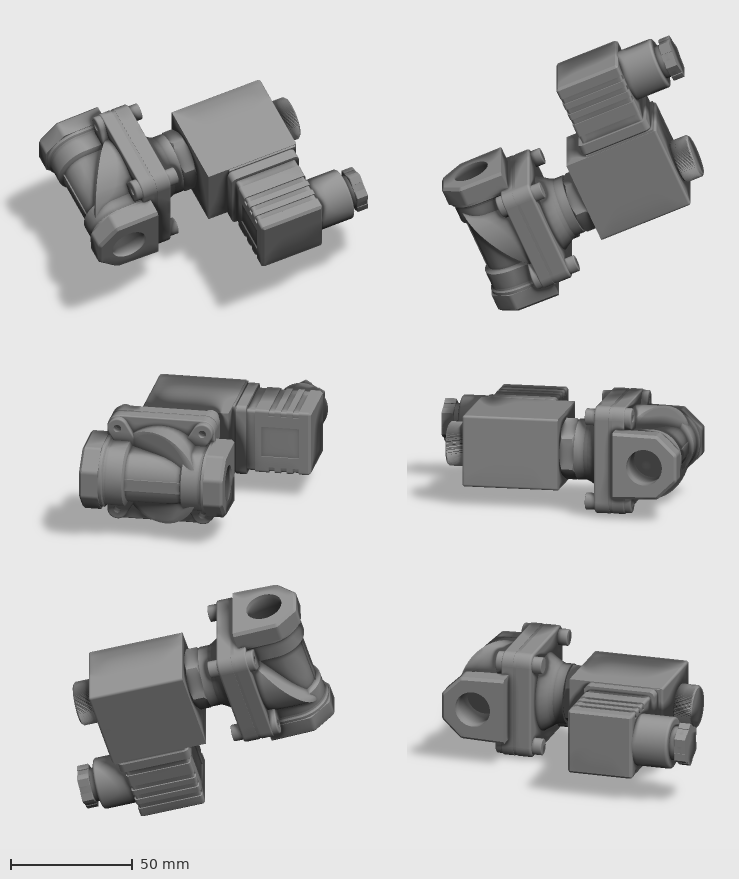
import cadquery as cq
import math


overall_length = 85.1
valve_length = 60.0
half_length = valve_length / 2
port_length = 7.9
port_inner_x = half_length - port_length
port_back_y = 13.3
port_front_y = -13.5
port_half_back = 13.9
port_half_corner = 13.4
port_corner_y = -5.4
port_half_front = 5.6
port_corner_radius = 2.2
port_chamfer = 1.1
port_bore = 15.0
port_bore_depth = 16.7

casting_draft = math.tan(math.radians(1.7))
tube_radius = 10.3
collar_radius = 12.3
rim_radius = 13.3
tube_end_x = 11.4
collar_start_x = 12.4
collar_end_x = 19.5
rim_fillet_x = 20.3
rim_fillet_radius = 12.5
rim_start_x = 20.9
barrel_overlap = 0.3
spine_width = 4.9
spine_front_y = -10.5

bowl_radius = 19.3
bowl_floor_radius = 18.5
bowl_rim_rounding = 4.5
bowl_floor_angle = 32.0
bowl_floor_y = 0.3

flange_size = 45.0
flange_corner_radius = 5.0
flange_bottom_y = 9.9
gasket_bottom_y = 15.0
cover_bottom_y = 16.3
cover_top_y = 22.6
gasket_size = 44.6
flange_edge_radius = 0.6
cover_edge_radius = 1.0

screw_offset = 17.7
boss_radius = 4.2
boss_bottom_y = 7.1
boss_edge_radius = 0.7
boss_arm_length = 8.9
boss_arm_angle = 59.0
boss_hole = 3.2
boss_hole_depth = 4.5
screw_head = 6.9
screw_top_y = 26.7
screw_edge_radius = 0.3

bonnet_radius = 12.5
bonnet_top_y = 33.0
bonnet_shoulder_y = 29.0
bonnet_flare_y = 27.3
bonnet_flare_radius = 13.3
bonnet_base_radius = 16.3
hex_flats = 22.3
hex_chamfer_angle = 30.0

coil_bottom_y = 39.4
coil_top_y = 79.4
coil_left_x = -13.8
coil_right_x = 22.5
coil_height = 29.9
coil_edge_radius = 1.0
pad_thickness = 0.9
pad_bottom_y = 48.5
pad_top_y = 78.4
pad_height = 29.5

knurl_radius = 9.1
knurl_top_y = 87.6
knurl_chamfer = 0.8
knurl_teeth = 100
knurl_depth = 0.5

seal_left_x = coil_right_x + pad_thickness
seal_right_x = 28.3
seal_bottom_y = 47.3
seal_top_y = 77.5
seal_height = 30.0
seal_corner_radius = 2.2
seal_chamfer = 0.8
neck_right_x = 31.9
neck_bottom_y = 49.1
neck_top_y = 76.0
neck_height = 26.5
plug_right_x = overall_length - half_length
plug_bottom_y = 48.6
plug_top_y = 76.2
plug_height = 27.4
plug_corner_radius = 1.1
plug_edge = 1.0
groove_width = 2.5
groove_pitch = 5.0
groove_count = 3
groove_first_x = 37.6
groove_depth = 0.6
groove_corner_radius = 0.9
groove_end_z = 11.2
panel_left_x = 34.6
panel_length = 15.6
panel_height = 13.0
panel_depth = 0.6

gland_x = 43.7
gland_radius = 10.7
gland_top_y = 90.9
gland_edge = 1.0
gland_neck_radius = 7.0
gland_nut_bottom_y = 93.3
gland_nut_top_y = 98.0
gland_nut_flats = 15.8
gland_nut_chamfer = 0.2
gland_flute_depth = 0.3


def block(x0, x1, y0, y1, height):
    """Box between two X and two Y values, centred on Z = 0."""
    return (
        cq.Workplane("XY")
        .box(x1 - x0, y1 - y0, height)
        .translate(((x0 + x1) / 2, (y0 + y1) / 2, 0))
    )


def plane_at_y(y, x=0, z=0):
    """Workplane that extrudes towards +Y; its local axes are X and -Z."""
    return cq.Workplane("XZ", origin=(x, y, z)).transformed(rotate=(180, 0, 0))


def hexagon(flats, y0, y1, x=0):
    """Hexagonal prism along Y with its corners on the Z axis."""
    corner_diameter = flats / math.cos(math.radians(30))
    return (
        plane_at_y(y0, x)
        .transformed(rotate=(0, 0, 90))
        .polygon(6, corner_diameter)
        .extrude(y1 - y0)
    )


def turned_blank(flats, y0, y1, angle):
    """Turned blank whose end cones round the corners of a hexagon."""
    outer = flats / 2 / math.cos(math.radians(30))
    inner = flats / 2
    drop = (outer - inner) * math.tan(math.radians(angle))
    profile = [(0, y0), (inner, y0), (outer, y0 + drop), (outer, y1 - drop), (inner, y1), (0, y1)]
    return cq.Workplane("XY").polyline(profile).close().revolve(360, (0, 0, 0), (0, 1, 0))



def u_section(section, radius):
    """U outline: half round in front, walls opening with the casting draft at the back."""
    wall_y = flange_bottom_y + flange_edge_radius
    wall_half = radius + wall_y * casting_draft
    return (
        section.moveTo(wall_y, wall_half)
        .lineTo(0, radius)
        .threePointArc((-radius, 0), (0, -radius))
        .lineTo(wall_y, -wall_half)
        .close()
    )


def make_barrel():
    """Tube with a collar and rim at each end, plus the flat spine along its front."""
    stations = [
        (0, tube_radius),
        (tube_end_x, tube_radius),
        (collar_start_x, collar_radius),
        (collar_end_x, collar_radius),
        (rim_fillet_x, rim_fillet_radius),
        (rim_start_x, rim_radius),
        (port_inner_x + barrel_overlap, rim_radius),
    ]
    section = cq.Workplane("YZ")
    previous_x = 0
    for x, radius in stations:
        section = u_section(section.workplane(offset=x - previous_x), radius)
        previous_x = x
    half = section.loft(ruled=True, combine=True)
    spine = block(-collar_start_x, collar_start_x, spine_front_y, 0, spine_width)
    return half.union(half.mirror("YZ")).union(spine)


def make_port():
    """Port block at the +X end."""
    half_outline = [
        (port_back_y, port_half_back),
        (port_corner_y, port_half_corner),
        (port_front_y, port_half_front),
    ]
    outline = half_outline + [(y, -z) for y, z in reversed(half_outline)]
    port = cq.Workplane("YZ", origin=(port_inner_x, 0, 0)).polyline(outline).close().extrude(port_length)
    facet_edges = cq.selectors.BoxSelector(
        (0, port_front_y - 1.1, -port_half_back), (half_length, port_corner_y + 1.1, port_half_back)
    )
    port = port.edges("|X").edges(facet_edges).fillet(port_corner_radius)
    return port.faces(">X").edges("not >Y").chamfer(port_chamfer)


def make_bore():
    """Blind pipe bore at the +X end."""
    start = half_length - port_bore_depth
    return cq.Workplane("YZ", origin=(start, 0, 0)).circle(port_bore / 2).extrude(port_bore_depth)


def make_bowl():
    """Cylinder under the flange, cut off by a sloping round floor with a rounded rim."""
    bowl = plane_at_y(-bowl_radius).circle(bowl_radius).extrude(bowl_radius + gasket_bottom_y)
    floor = plane_at_y(0).circle(bowl_floor_radius + bowl_rim_rounding).extrude(4 * bowl_radius)
    floor = floor.faces("<Y").edges().fillet(bowl_rim_rounding)
    floor = floor.rotate((0, 0, 0), (0, 0, 1), -bowl_floor_angle).translate((0, bowl_floor_y, 0))
    return bowl.intersect(floor)


def square_plate(size, y0, y1):
    """Square plate with round corners."""
    return block(-size / 2, size / 2, y0, y1, size).edges("|Y").fillet(flange_corner_radius)


def make_flange_stack():
    """Body flange, gasket and cover, clamped together."""
    flange = square_plate(flange_size, flange_bottom_y, gasket_bottom_y)
    flange = flange.faces("<Y").edges().fillet(flange_edge_radius)
    gasket = square_plate(gasket_size, gasket_bottom_y, cover_bottom_y)
    cover = square_plate(flange_size, cover_bottom_y, cover_top_y)
    cover = cover.faces(">Y").edges().fillet(cover_edge_radius)
    return flange.union(gasket).union(cover)


def make_boss():
    """Boss with an arm slanting towards the pipe, for the (+X, +Z) corner."""
    boss = (
        plane_at_y(boss_bottom_y)
        .center(-boss_arm_length / 2, 0)
        .slot2D(boss_arm_length + 2 * boss_radius, 2 * boss_radius)
        .extrude(gasket_bottom_y - boss_bottom_y)
    )
    boss = boss.faces("<Y").edges().fillet(boss_edge_radius)
    return boss.rotate((0, 0, 0), (0, 1, 0), -boss_arm_angle).translate((screw_offset, 0, screw_offset))


def make_screw_head():
    head = plane_at_y(cover_top_y, screw_offset, screw_offset).circle(screw_head / 2)
    head = head.extrude(screw_top_y - cover_top_y)
    return head.faces(">Y").edges().fillet(screw_edge_radius)


def make_boss_hole():
    hole = plane_at_y(boss_bottom_y, screw_offset, screw_offset).circle(boss_hole / 2)
    return hole.extrude(boss_hole_depth)


def at_four_corners(feature):
    """The feature at (+X, +Z) and its three mirror images."""
    pair = [feature, feature.mirror("YZ")]
    return pair + [copy.mirror("XY") for copy in pair]


def make_bonnet():
    """Stepped conical bonnet on the cover."""
    return (
        cq.Workplane("XY")
        .moveTo(0, cover_top_y)
        .lineTo(bonnet_base_radius, cover_top_y)
        .lineTo(bonnet_flare_radius, bonnet_flare_y)
        .lineTo(bonnet_radius, bonnet_shoulder_y)
        .lineTo(bonnet_radius, bonnet_top_y)
        .lineTo(0, bonnet_top_y)
        .close()
        .revolve(360, (0, 0, 0), (0, 1, 0))
    )


def make_valve():
    port = make_port()
    bore = make_bore()
    hex_blank = turned_blank(hex_flats, bonnet_top_y, coil_bottom_y, hex_chamfer_angle)
    hex_collar = hexagon(hex_flats, bonnet_top_y, coil_bottom_y).intersect(hex_blank)

    valve = make_barrel().union(port).union(port.mirror("YZ"))
    valve = valve.union(make_bowl()).union(make_flange_stack())
    for feature in at_four_corners(make_boss()) + at_four_corners(make_screw_head()):
        valve = valve.union(feature)
    valve = valve.union(make_bonnet()).union(hex_collar)
    for hole in at_four_corners(make_boss_hole()) + [bore, bore.mirror("YZ")]:
        valve = valve.cut(hole)
    return valve



def make_knurled_nut():
    """Chamfered round nut with straight V grooves around its rim."""
    points = []
    for tooth in range(knurl_teeth):
        crest = 2 * math.pi * tooth / knurl_teeth
        root = crest + math.pi / knurl_teeth
        root_radius = knurl_radius - knurl_depth
        points.append((knurl_radius * math.cos(crest), knurl_radius * math.sin(crest)))
        points.append((root_radius * math.cos(root), root_radius * math.sin(root)))
    height = knurl_top_y - coil_top_y
    blank = plane_at_y(coil_top_y).circle(knurl_radius).extrude(height)
    blank = blank.faces("<Y or >Y").edges().chamfer(knurl_chamfer)
    return plane_at_y(coil_top_y).polyline(points).close().extrude(height).intersect(blank)


def make_coil():
    """Coil block with the connector pad on its +X side and the knurled nut on top."""
    coil = block(coil_left_x, coil_right_x, coil_bottom_y, coil_top_y, coil_height)
    coil = coil.edges(">Y or (<X and |Y)").fillet(coil_edge_radius)
    pad = block(coil_right_x, seal_left_x, pad_bottom_y, pad_top_y, pad_height)
    return coil.union(pad).union(make_knurled_nut())



def make_plug():
    """Ribbed plug housing with a label panel on its front."""
    plug = block(neck_right_x, plug_right_x, plug_bottom_y, plug_top_y, plug_height)
    plug = plug.edges("|X").fillet(plug_corner_radius).faces(">X").edges().chamfer(plug_edge)
    for index in range(groove_count):
        x0 = groove_first_x + index * groove_pitch
        x1 = x0 + groove_width
        ring = block(x0, x1, plug_bottom_y, plug_top_y, plug_height)
        core = block(
            x0, x1, plug_bottom_y + groove_depth, plug_top_y - groove_depth, plug_height - 2 * groove_depth
        )
        core = core.edges("|X").fillet(groove_corner_radius)
        middle = block(x0, x1, plug_bottom_y, plug_top_y, 2 * groove_end_z)
        plug = plug.cut(ring.cut(core).cut(middle))
    panel = block(
        panel_left_x, panel_left_x + panel_length, plug_bottom_y, plug_bottom_y + panel_depth, panel_height
    )
    return plug.cut(panel)


def make_gland():
    """Cable gland: cylinder, neck and fluted hexagonal nut."""
    body = plane_at_y(plug_top_y, gland_x).circle(gland_radius).extrude(gland_top_y - plug_top_y)
    body = body.faces(">Y").edges().fillet(gland_edge)
    neck = plane_at_y(gland_top_y, gland_x).circle(gland_neck_radius)
    neck = neck.extrude(gland_nut_bottom_y - gland_top_y)

    nut = hexagon(gland_nut_flats, gland_nut_bottom_y, gland_nut_top_y, gland_x)
    nut = nut.faces("<Y").edges().chamfer(gland_nut_chamfer)
    flute_width = gland_nut_flats * math.tan(math.radians(30)) / 3
    flute_x = gland_x + gland_nut_flats / 2
    flute = block(
        flute_x - gland_flute_depth, flute_x, gland_nut_bottom_y, gland_nut_top_y, flute_width
    )
    for side in range(6):
        nut = nut.cut(flute.rotate((gland_x, 0, 0), (gland_x, 1, 0), 60 * side))
    return body.union(neck).union(nut)


def make_connector():
    seal = block(seal_left_x, seal_right_x, seal_bottom_y, seal_top_y, seal_height)
    seal = seal.edges("|X").fillet(seal_corner_radius).faces("<X").edges().chamfer(seal_chamfer)
    neck = block(seal_right_x, neck_right_x, neck_bottom_y, neck_top_y, neck_height)
    neck = neck.edges("|X").fillet(plug_corner_radius)
    return seal.union(neck).union(make_plug()).union(make_gland())


valve = make_valve()
coil = make_coil()
connector = make_connector()

result = cq.Compound.makeCompound([valve.val(), coil.val(), connector.val()])